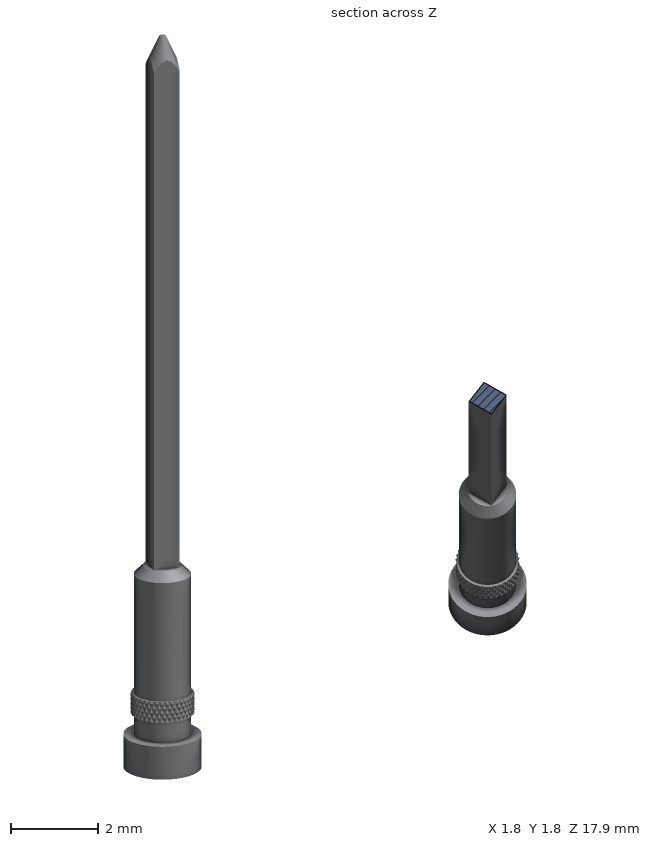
import cadquery as cq
import math

total_length = 17.85
head_diameter = 1.8
head_height = 0.8

barrel_diameter = 1.32
barrel_top = 4.93
barrel_bevel = 0.21

band_diameter = 1.48
band_bottom = 1.32
band_height = 0.5
knurl_depth = 0.04
knurl_starts = 36
knurl_angle = 30.0

pin_width = 0.62
tip_flat_diameter = 0.15
tip_slope = 0.47


def cylinder(diameter, bottom, height):
    return cq.Workplane("XY").workplane(offset=bottom).circle(diameter / 2).extrude(height)


def knurl_layer(direction):
    """Star-shaped section twisted along the band, leaning left or right."""
    outer_radius = band_diameter / 2
    inner_radius = outer_radius - knurl_depth
    half_step = math.pi / knurl_starts
    points = []
    for corner in range(2 * knurl_starts):
        radius = inner_radius if corner % 2 else outer_radius
        angle = corner * half_step
        points.append((radius * math.cos(angle), radius * math.sin(angle)))
    lean = band_height * math.tan(math.radians(knurl_angle))
    twist = direction * math.degrees(lean / outer_radius)
    section = cq.Workplane("XY").workplane(offset=band_bottom).polyline(points).close()
    return section.twistExtrude(band_height, twist)


def knurled_band():
    """Crossing left-hand and right-hand grooves leave diamond-shaped peaks."""
    return knurl_layer(1).intersect(knurl_layer(-1))


def barrel():
    body = cylinder(barrel_diameter, head_height, barrel_top - head_height)
    return body.faces(">Z").chamfer(barrel_bevel)


def pointed_pin():
    length = total_length - barrel_top
    pin = cq.Workplane("XY").workplane(offset=barrel_top).rect(pin_width, pin_width).extrude(length)
    tip_radius = tip_flat_diameter / 2
    base_radius = tip_radius + tip_slope * length
    cone = (
        cq.Workplane("XZ")
        .moveTo(0, barrel_top)
        .lineTo(base_radius, barrel_top)
        .lineTo(tip_radius, total_length)
        .lineTo(0, total_length)
        .close()
        .revolve(360, (0, 0), (0, 1))
    )
    return pin.intersect(cone)


head = cylinder(head_diameter, 0, head_height)
result = head.union(barrel()).union(knurled_band()).union(pointed_pin())